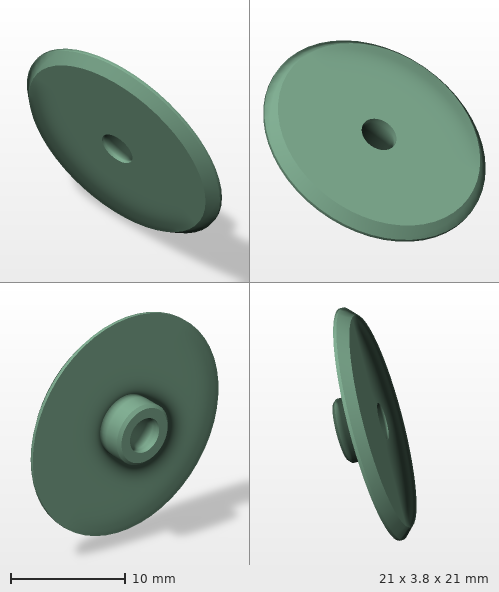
import cadquery as cq

disc_diameter = 21.0
disc_thickness = 1.2
rim_width = 0.3
hub_diameter = 5.8
hub_length = 2.6
hub_chamfer = 0.3
bore_diameter = 3.3

bevel = disc_thickness - rim_width
total_length = disc_thickness + hub_length


def cylinder_along_y(diameter, length):
    """Cylinder centred on the Y axis, from Y = 0 to Y = length."""
    return cq.Workplane("XZ").circle(diameter / 2).extrude(-length)


disc = cylinder_along_y(disc_diameter, disc_thickness).faces("<Y").chamfer(bevel)
hub = cylinder_along_y(hub_diameter, total_length).faces(">Y").chamfer(hub_chamfer)
bore = cylinder_along_y(bore_diameter, total_length)

result = disc.union(hub).cut(bore)